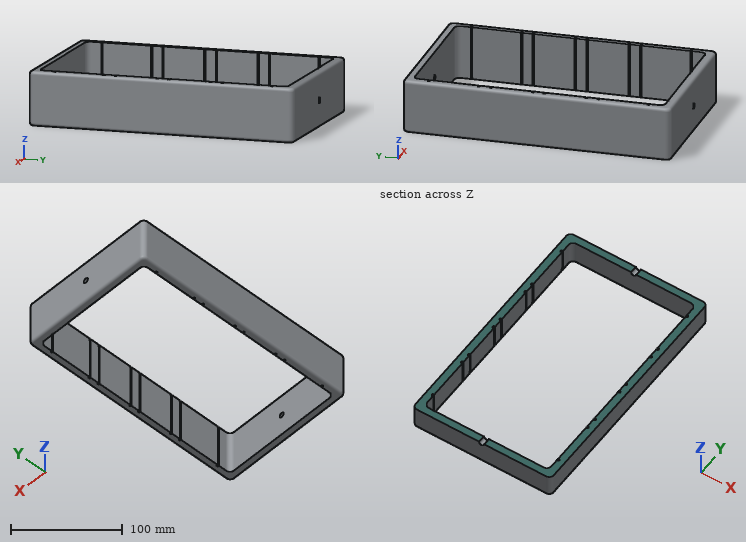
import cadquery as cq

length = 250.0
width = 150.0
height = 50.0
wall = 8.0
corner_radius = 5.0
rim_radius = 3.0

hole_diameter = 5.2

groove_width = 1.6
groove_depth = 1.8
groove_floor = 0.5
groove_pair_pitch = 50.2
groove_pair_spacing = 11.0
end_groove_offset = 102.5


def rounded_block(size_x, size_y):
    """Full-height block, centred on the origin, with rounded vertical corners."""
    return cq.Workplane("XY").box(size_x, size_y, height).edges("|Z").fillet(corner_radius)


def frame():
    """Open rectangular frame with its outer top and bottom edges rounded."""
    outer = rounded_block(width, length).faces(">Z or <Z").edges().fillet(rim_radius)
    opening = rounded_block(width - 2 * wall, length - 2 * wall)
    return outer.cut(opening)


def groove_positions():
    """Y positions: a single groove near each end and three pairs between them."""
    positions = [-end_groove_offset, end_groove_offset]
    for pair_index in (-1, 0, 1):
        for side in (-1, 1):
            positions.append(pair_index * groove_pair_pitch + side * groove_pair_spacing / 2)
    return positions


def grooves():
    """Bars spanning the opening, each cutting a facing pair of grooves."""
    bar_length = width - 2 * wall + 2 * groove_depth
    floor_plane = cq.Workplane("XY").workplane(offset=-height / 2 + groove_floor)
    points = [(0, y) for y in groove_positions()]
    return floor_plane.pushPoints(points).rect(bar_length, groove_width).extrude(height - groove_floor)


def end_holes():
    """Round cutter running along Y through both end walls."""
    return cq.Workplane("XZ").circle(hole_diameter / 2).extrude(length, both=True)


result = frame().cut(grooves()).cut(end_holes())